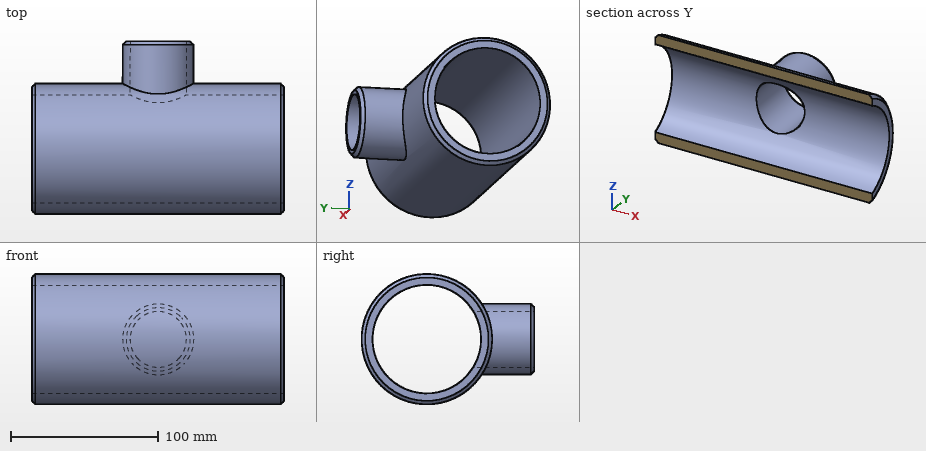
import cadquery as cq

RUN_LENGTH = 171.7
RUN_OUTER_DIAMETER = 88.9
RUN_WALL = 7.62

BRANCH_OUTER_DIAMETER = 48.3
BRANCH_WALL = 5.08
BRANCH_REACH = 73.2

BEVEL = 2.5


def bevelled_end(radius):
    """Profile points of a bevelled rod end, as (setback from the end face, radius)."""
    return [(BEVEL, radius), (0, radius - BEVEL)]


def run_body():
    """Solid run, bevelled at both ends and centred on the origin."""
    half_length = RUN_LENGTH / 2
    end = bevelled_end(RUN_OUTER_DIAMETER / 2)
    left = [(setback - half_length, radius) for setback, radius in reversed(end)]
    right = [(half_length - setback, radius) for setback, radius in end]
    outline = [(-half_length, 0)] + left + right + [(half_length, 0)]
    return cq.Workplane("XY").polyline(outline).close().revolve(360, (0, 0), (1, 0))


def branch_body():
    """Solid branch from the run axis to its bevelled outer end."""
    radius = BRANCH_OUTER_DIAMETER / 2
    end = [(r, BRANCH_REACH - setback) for setback, r in bevelled_end(radius)]
    outline = [(0, 0), (radius, 0)] + end + [(0, BRANCH_REACH)]
    return cq.Workplane("XY").polyline(outline).close().revolve(360, (0, 0), (0, 1))


def run_bore():
    """Through bore of the run."""
    radius = RUN_OUTER_DIAMETER / 2 - RUN_WALL
    return cq.Workplane("YZ").circle(radius).extrude(RUN_LENGTH / 2, both=True)


def branch_bore():
    """Bore of the branch, opening into the run bore."""
    radius = BRANCH_OUTER_DIAMETER / 2 - BRANCH_WALL
    return cq.Workplane("XZ").circle(radius).extrude(-BRANCH_REACH)


result = run_body().union(branch_body()).cut(run_bore()).cut(branch_bore())